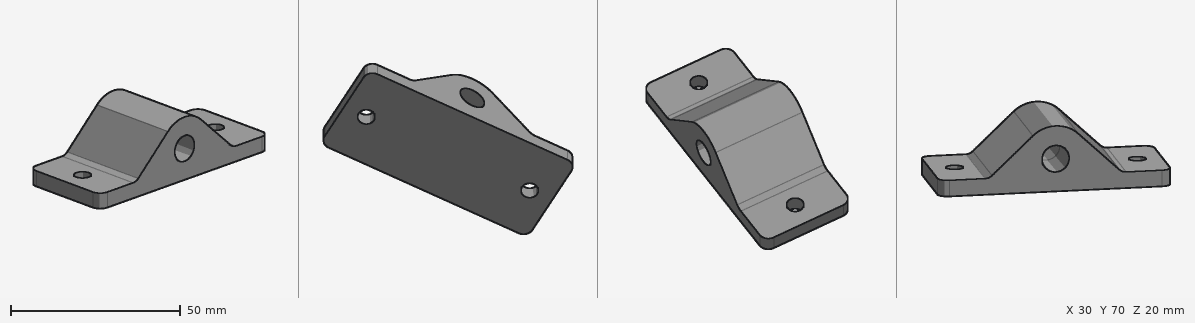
import cadquery as cq
import math

width = 30.0
length = 70.0
base_thickness = 5.0
corner_radius = 3.0
screw_hole_diameter = 5.1
screw_hole_offset = 27.5

crown_radius = 10.0
bore_height = 10.0
bore_diameter = 8.1
toe_offset = 20.0
toe_fillet_radius = 3.0


def make_base():
    """Plate with rounded vertical corners, resting on Z = 0."""
    plate = cq.Workplane("XY").box(width, length, base_thickness, centered=(True, True, False))
    return plate.edges("|Z").fillet(corner_radius)


def make_saddle():
    """Round crown with flanks tangent to it, each blended into the base by a small fillet."""
    toe_drop = bore_height - base_thickness
    toe_distance = math.hypot(toe_offset, toe_drop)
    tangent_angle = math.acos(crown_radius / toe_distance) - math.atan2(toe_drop, toe_offset)
    crown_y = crown_radius * math.cos(tangent_angle)
    crown_z = bore_height + crown_radius * math.sin(tangent_angle)

    flank_slope = math.pi / 2 - tangent_angle
    fillet_reach = toe_fillet_radius * math.tan(flank_slope / 2)
    fillet_end_y = toe_offset + fillet_reach
    fillet_start_y = toe_offset - fillet_reach * math.cos(flank_slope)
    fillet_start_z = base_thickness + fillet_reach * math.sin(flank_slope)
    fillet_mid_y = fillet_end_y - toe_fillet_radius * math.sin(flank_slope / 2)
    fillet_mid_z = base_thickness + toe_fillet_radius * (1 - math.cos(flank_slope / 2))

    return (
        cq.Workplane("YZ")
        .moveTo(-fillet_end_y, 0)
        .lineTo(-fillet_end_y, base_thickness)
        .threePointArc((-fillet_mid_y, fillet_mid_z), (-fillet_start_y, fillet_start_z))
        .lineTo(-crown_y, crown_z)
        .threePointArc((0, bore_height + crown_radius), (crown_y, crown_z))
        .lineTo(fillet_start_y, fillet_start_z)
        .threePointArc((fillet_mid_y, fillet_mid_z), (fillet_end_y, base_thickness))
        .lineTo(fillet_end_y, 0)
        .close()
        .extrude(width / 2, both=True)
    )


def make_bore():
    """Cylinder along X, concentric with the crown."""
    return (
        cq.Workplane("YZ")
        .center(0, bore_height)
        .circle(bore_diameter / 2)
        .extrude(width / 2, both=True)
    )


def make_screw_holes():
    """One vertical cylinder through each end of the base."""
    return (
        cq.Workplane("XY")
        .pushPoints([(0, -screw_hole_offset), (0, screw_hole_offset)])
        .circle(screw_hole_diameter / 2)
        .extrude(base_thickness)
    )


result = make_base().union(make_saddle()).cut(make_bore()).cut(make_screw_holes())